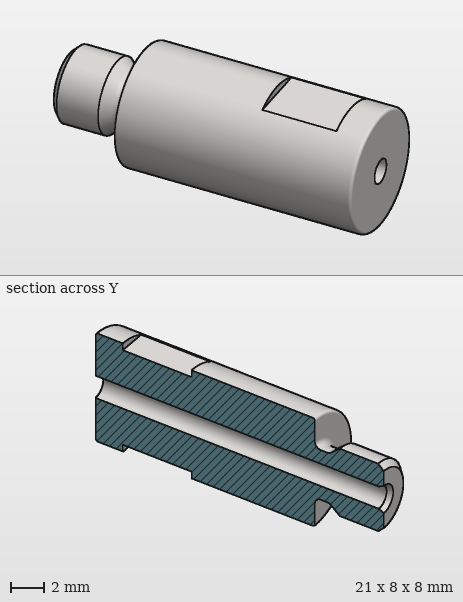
import cadquery as cq
import math

total_length = 21.0
spigot_length = 5.0
body_radius = 4.0
body_edge_fillet = 0.2

spigot_radius = 2.5
tip_chamfer = 0.4
undercut_radius = 1.85
undercut_start = 3.2
undercut_angle = math.radians(40)
undercut_fillet = 0.4

bore_radius = 0.8
countersink_radius = 1.0
countersink_half_angle = math.radians(30)

flat_start = 14.0
flat_length = 5.0
flat_half_width = 3.5


def turned_pin():
    """Revolve the half profile of spigot, undercut and body about the X axis."""
    cone_length = (spigot_radius - undercut_radius) / math.tan(undercut_angle)
    cone_end = undercut_start + cone_length
    tangent = undercut_fillet * math.tan(undercut_angle / 2)
    tangent_dx = tangent * math.cos(undercut_angle)
    tangent_dr = tangent * math.sin(undercut_angle)
    arc_end_x = cone_end + tangent
    arc_sweep = undercut_angle / 2
    arc_mid = (
        arc_end_x - undercut_fillet * math.sin(arc_sweep),
        undercut_radius + undercut_fillet * (1 - math.cos(arc_sweep)),
    )
    body_end_x = total_length - body_edge_fillet
    body_edge_radius = body_radius - body_edge_fillet

    profile = (
        cq.Workplane("XZ")
        .moveTo(0, 0)
        .lineTo(0, spigot_radius - tip_chamfer)
        .lineTo(tip_chamfer, spigot_radius)
        .lineTo(undercut_start, spigot_radius)
        .lineTo(cone_end - tangent_dx, undercut_radius + tangent_dr)
        .threePointArc(arc_mid, (arc_end_x, undercut_radius))
        .lineTo(spigot_length - undercut_fillet, undercut_radius)
        .radiusArc((spigot_length, undercut_radius + undercut_fillet), -undercut_fillet)
        .lineTo(spigot_length, body_edge_radius)
        .radiusArc((spigot_length + body_edge_fillet, body_radius), body_edge_fillet)
        .lineTo(body_end_x, body_radius)
        .radiusArc((total_length, body_edge_radius), body_edge_fillet)
        .lineTo(total_length, 0)
        .close()
    )
    return profile.revolve(360, (0, 0, 0), (1, 0, 0))


def bore():
    """Through hole along X with a countersunk mouth at the tip."""
    countersink_depth = (countersink_radius - bore_radius) / math.tan(countersink_half_angle)
    return (
        cq.Workplane("XZ")
        .moveTo(0, 0)
        .lineTo(0, countersink_radius)
        .lineTo(countersink_depth, bore_radius)
        .lineTo(total_length, bore_radius)
        .lineTo(total_length, 0)
        .close()
        .revolve(360, (0, 0, 0), (1, 0, 0))
    )


def flat_cutter(side):
    """Block that removes the body outside one flat; side is +1 or -1 along Z."""
    depth = body_radius - flat_half_width
    return cq.Workplane("XY").box(flat_length, 2 * body_radius, depth).translate(
        (flat_start + flat_length / 2, 0, side * (flat_half_width + depth / 2))
    )


result = turned_pin().cut(bore())
for side in (1, -1):
    result = result.cut(flat_cutter(side))